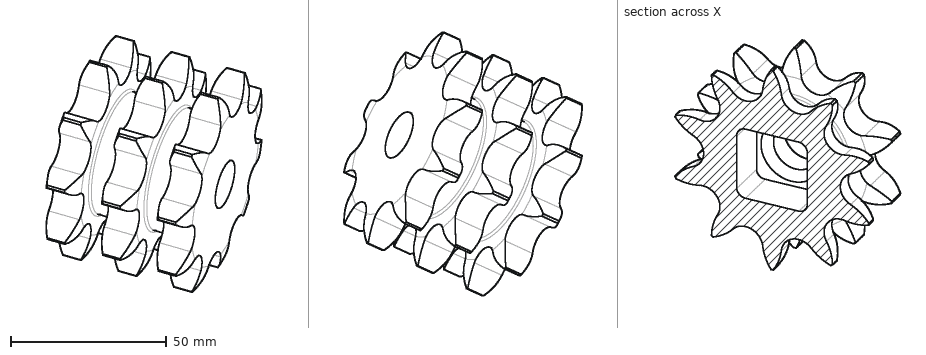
import cadquery as cq
import math

ROW_COUNT = 3
ROW_PITCH = 19.45
TOOTH_WIDTH = 10.85
TOTAL_WIDTH = (ROW_COUNT - 1) * ROW_PITCH + TOOTH_WIDTH

TOOTH_COUNT = 10
TIP_RADIUS = 36.7
PITCH_RADIUS = 30.8
SEAT_RADIUS = 6.1
FLANK_RADIUS = 17.7
SEAT_HALF_ANGLE = math.radians(65.5)
TOOTH_STEP = 2 * math.pi / TOOTH_COUNT

TIP_LAND = 6.2
RELIEF_RADIUS = 19.1

HUB_RADIUS = 20.55
HUB_FILLET = 0.7
SQUARE_SIZE = 25.25
SQUARE_CORNER_RADIUS = 3.0
HOLE_RADIUS = 8.0
COUNTERSINK_RADIUS = 11.0
SQUARE_DEPTH = TOTAL_WIDTH - TOOTH_WIDTH


def polar(radius, angle, origin=(0, 0)):
    """Point (y, z) at an angle measured from +Z towards +Y."""
    return origin[0] + radius * math.sin(angle), origin[1] + radius * math.cos(angle)


def angle_of(point):
    return math.atan2(point[0], point[1])


def toothed_blank():
    """Extruded tooth outline: roller seats joined tangentially to convex flanks."""
    seat_angle = TOOTH_STEP / 2
    seat_center = polar(PITCH_RADIUS, seat_angle)
    seat_end_angle = seat_angle + math.pi + SEAT_HALF_ANGLE
    seat_end = polar(SEAT_RADIUS, seat_end_angle, seat_center)
    flank_center = polar(SEAT_RADIUS + FLANK_RADIUS, seat_end_angle, seat_center)

    center_distance = math.hypot(*flank_center)
    crossing = math.acos(
        (TIP_RADIUS**2 + center_distance**2 - FLANK_RADIUS**2) / (2 * TIP_RADIUS * center_distance)
    )
    tip_half_angle = angle_of(flank_center) + crossing
    tip_corner = polar(TIP_RADIUS, tip_half_angle)

    start_direction = angle_of((seat_end[0] - flank_center[0], seat_end[1] - flank_center[1]))
    end_direction = angle_of((tip_corner[0] - flank_center[0], tip_corner[1] - flank_center[1]))
    flank_middle = polar(FLANK_RADIUS, (start_direction + end_direction) / 2, flank_center)

    end_radius, end_angle = math.hypot(*seat_end), angle_of(seat_end)
    middle_radius, middle_angle = math.hypot(*flank_middle), angle_of(flank_middle)
    root_radius = PITCH_RADIUS - SEAT_RADIUS

    outline = cq.Workplane("YZ").moveTo(*polar(TIP_RADIUS, -tip_half_angle))
    for tooth in range(TOOTH_COUNT):
        here = tooth * TOOTH_STEP
        after = here + TOOTH_STEP
        outline = (
            outline.threePointArc(polar(TIP_RADIUS, here), polar(TIP_RADIUS, here + tip_half_angle))
            .threePointArc(polar(middle_radius, here + middle_angle), polar(end_radius, here + end_angle))
            .threePointArc(polar(root_radius, here + seat_angle), polar(end_radius, after - end_angle))
            .threePointArc(
                polar(middle_radius, after - middle_angle), polar(TIP_RADIUS, after - tip_half_angle)
            )
        )
    return outline.close().extrude(TOOTH_WIDTH)


def relief_envelope():
    """Disc whose rim narrows to the tip land along arcs tangent to its faces."""
    inset = (TOOTH_WIDTH - TIP_LAND) / 2
    sweep = math.acos(1 - inset / RELIEF_RADIUS)
    relief_start = TIP_RADIUS - RELIEF_RADIUS * math.sin(sweep)
    middle_inset = RELIEF_RADIUS * (1 - math.cos(sweep / 2))
    middle_radius = relief_start + RELIEF_RADIUS * math.sin(sweep / 2)
    return (
        cq.Workplane("XZ")
        .lineTo(0, relief_start)
        .threePointArc((middle_inset, middle_radius), (inset, TIP_RADIUS))
        .lineTo(TOOTH_WIDTH - inset, TIP_RADIUS)
        .threePointArc((TOOTH_WIDTH - middle_inset, middle_radius), (TOOTH_WIDTH, relief_start))
        .lineTo(TOOTH_WIDTH, 0)
        .close()
        .revolve(360, (0, 0), (1, 0))
    )


def hub_section():
    """Hub between two rows, from face to face, with a fillet against each row."""
    length = ROW_PITCH - TOOTH_WIDTH
    fillet_radius = HUB_RADIUS + HUB_FILLET
    fillet_offset = HUB_FILLET * (1 - math.sqrt(0.5))
    return (
        cq.Workplane("XZ")
        .lineTo(0, fillet_radius)
        .threePointArc((fillet_offset, HUB_RADIUS + fillet_offset), (HUB_FILLET, HUB_RADIUS))
        .lineTo(length - HUB_FILLET, HUB_RADIUS)
        .threePointArc((length - fillet_offset, HUB_RADIUS + fillet_offset), (length, fillet_radius))
        .lineTo(length, 0)
        .close()
        .revolve(360, (0, 0), (1, 0))
    )


def bore():
    """Square socket from the -X face, ending in a 45 degree countersink and a round through hole."""
    socket = (
        cq.Workplane("YZ")
        .rect(SQUARE_SIZE, SQUARE_SIZE)
        .extrude(SQUARE_DEPTH)
        .edges("|X")
        .fillet(SQUARE_CORNER_RADIUS)
    )
    countersink_end = SQUARE_DEPTH + COUNTERSINK_RADIUS - HOLE_RADIUS
    hole = (
        cq.Workplane("XZ")
        .moveTo(SQUARE_DEPTH, 0)
        .lineTo(SQUARE_DEPTH, COUNTERSINK_RADIUS)
        .lineTo(countersink_end, HOLE_RADIUS)
        .lineTo(TOTAL_WIDTH, HOLE_RADIUS)
        .lineTo(TOTAL_WIDTH, 0)
        .close()
        .revolve(360, (0, 0), (1, 0))
    )
    return socket.union(hole)


tooth_row = toothed_blank().intersect(relief_envelope())
hub = hub_section()

body = tooth_row
for row in range(1, ROW_COUNT):
    row_start = row * ROW_PITCH
    hub_start = row_start - ROW_PITCH + TOOTH_WIDTH
    body = body.union(hub.translate((hub_start, 0, 0)))
    body = body.union(tooth_row.translate((row_start, 0, 0)))

result = body.cut(bore())